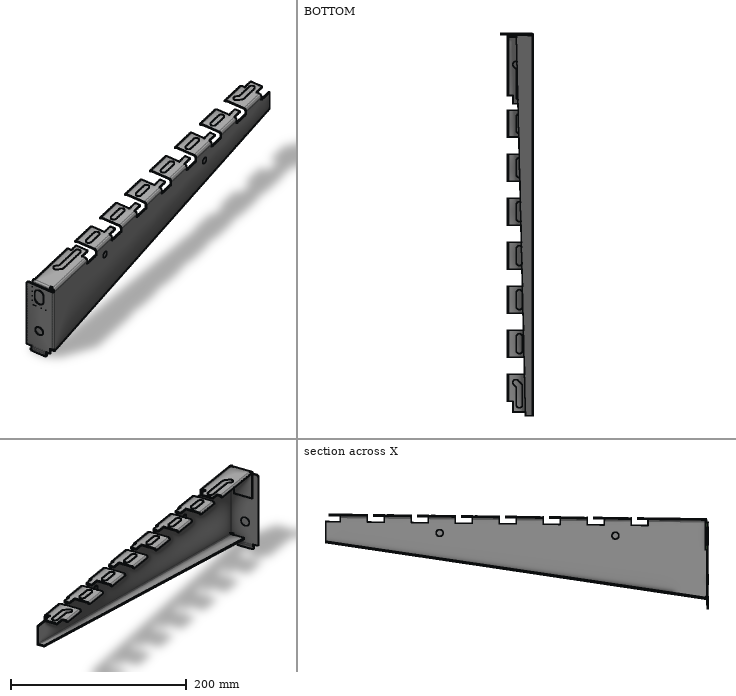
import cadquery as cq
import math

length = 435.0
width = 37.5
height = 107.5

sheet = 1.5
bend = 3.5
tight_bend = 2.0
tab_bend = 2.5
lip_bend = 2.5
recess = 0.5
over = 4.5

plate_face = 0.5
plate_bottom = 6.5
plate_top = 98.5
plate_top_radius = 3.5
plate_bottom_radius = 1.7
plate_bend_bottom = 14.0
plate_low_width = 32.5
plate_hole_x = 18.0
plate_slot_z = 82.5
plate_slot_length = 20.0
plate_slot_width = 12.0
plate_hole_z = 33.0
plate_hole_diameter = 11.0

foot_left = 6.0
foot_right = 28.3
foot_chamfer = 1.5
foot_step = 4.0
neck_inset = 1.5

flange_left = 7.5
flange_drop = 5.2
flange_tip = 430.5
top_slope = flange_drop / length
top_angle = math.degrees(math.atan(top_slope))

seat_pitch = 50.0
seat_length = 31.0
middle_seats = 6
first_middle_seat = 87.5
notch_depth = 8.3
finger_left = 27.0
finger_right = 34.0
finger_length = 11.7
tongue_left = 14.0
tongue_right = 30.0
root_seat_end = 68.5
root_lip_end = 71.0
root_tongue_end = 80.5
tip_seat_end = 418.5

slot_x = 21.5
slot_width = 7.0
slot_length = 22.5
hook_step = 4.0
root_hook_bend = 39.5
root_hook_end = 72.5
tip_hook_bend = 401.0
tip_hook_end = 422.5

tab_right = 31.5
tab_bottom = 67.0

web_bottom_root = 11.0
web_bottom_tip = 75.2
web_holes = ((105.5, 83.0), (305.5, 86.0))
web_hole_diameter = 8.0
lower_flange_root = 19.5
lower_flange_tip = 9.0

plate_back = plate_face + sheet
web_start = plate_face + tight_bend
lip_start = plate_back + tab_bend
root_top = height - top_slope * flange_tip


def box(x0, x1, y0, y1, z0, z1):
    return cq.Workplane("XY").box(x1 - x0, y1 - y0, z1 - z0, centered=False).translate((x0, y0, z0))


def bend_offset(radius):
    """Distance from a tangent corner to the middle of a quarter arc, along each axis."""
    return radius * (1 - math.sqrt(0.5))


def tilt_flange(body):
    """Move a body from the flange frame (flange top at Z = 0) to its sloping place."""
    return body.rotate((0, 0, 0), (1, 0, 0), top_angle).translate((0, 0, root_top))


def flange_and_web():
    """Constant section along Y: web, upper bend, flange and curled free edge."""
    inner = bend - sheet
    outer_mid = bend_offset(bend)
    inner_mid = sheet + bend_offset(inner)
    lip_mid = bend_offset(lip_bend)
    lip_inner_mid = sheet + bend_offset(lip_bend - sheet)
    section = (
        cq.Workplane("XZ")
        .moveTo(width, -height)
        .lineTo(width, -bend)
        .threePointArc((width - outer_mid, -outer_mid), (width - bend, 0))
        .lineTo(flange_left + lip_bend, 0)
        .threePointArc((flange_left + lip_mid, -lip_mid), (flange_left, -lip_bend))
        .lineTo(flange_left + sheet, -lip_bend)
        .threePointArc((flange_left + lip_inner_mid, -lip_inner_mid), (flange_left + lip_bend, -sheet))
        .lineTo(width - bend, -sheet)
        .threePointArc((width - inner_mid, -inner_mid), (width - sheet, -bend))
        .lineTo(width - sheet, -height)
        .close()
    )
    return section.extrude(-length - over)


def straight_slot(y_start, y_end):
    """Shallow slot cutter along Y between two end centres."""
    run = y_end - y_start
    return (
        cq.Workplane("XY")
        .center(slot_x, (y_start + y_end) / 2)
        .slot2D(run + slot_width, slot_width, 90)
        .extrude(recess, both=True)
    )


def hooked_slot(y_bend, y_end):
    """Shallow slot cutter whose near end turns diagonally toward the free edge."""
    hook_run = hook_step * math.sqrt(2)
    hook = (
        cq.Workplane("XY")
        .center(slot_x - hook_step / 2, y_bend - hook_step / 2)
        .slot2D(hook_run + slot_width, slot_width, 45)
        .extrude(recess, both=True)
    )
    return straight_slot(y_bend, y_end).union(hook)


def gap(y0, y1, tongue_x0, tongue_x1, tongue_end, lip_from):
    """Notch between two seats, sparing the tongue that reaches into it."""
    left_part = box(-over, tongue_x0, lip_from, y1, -notch_depth, over)
    right_part = box(tongue_x1, width + over, y0, y1, -notch_depth, over)
    beyond_tongue = box(-over, width + over, tongue_end, y1, -notch_depth, over)
    under_tongue = box(width - bend, width + over, y0, y1, -notch_depth, over)
    return left_part.union(right_part).union(beyond_tongue).union(under_tongue)


def upper_body():
    """Sloping flange with its seats and blanked slots, and the web below it."""
    body = flange_and_web()
    body = body.cut(gap(root_seat_end, first_middle_seat, tongue_left, tongue_right,
                        root_tongue_end, root_lip_end))
    for i in range(middle_seats):
        near = first_middle_seat + i * seat_pitch
        far = near + seat_length
        body = body.cut(gap(far, near + seat_pitch, finger_left, finger_right,
                            far + finger_length, far))
        middle = (near + far) / 2
        half_run = (slot_length - slot_width) / 2
        body = body.cut(straight_slot(middle - half_run, middle + half_run))
    body = body.cut(gap(tip_seat_end, length + 2 * over, tongue_left, tongue_right,
                        flange_tip, tip_seat_end))
    body = body.cut(hooked_slot(root_hook_bend, root_hook_end))
    body = body.cut(hooked_slot(tip_hook_bend, tip_hook_end))
    body = tilt_flange(body)

    envelope = (
        cq.Workplane("YZ")
        .polyline([(web_start, web_bottom_root), (length, web_bottom_tip),
                   (length, height + over), (web_start, height + over)])
        .close()
        .extrude(width)
    )
    body = body.intersect(envelope)
    body = body.cut(box(-over, width - bend, 0, lip_start, 0, height + over))
    for y, z in web_holes:
        hole = cq.Workplane("YZ").center(y, z).circle(web_hole_diameter / 2).extrude(width - sheet + recess)
        body = body.cut(hole)
    return body


def folded_tab():
    """Flange end turned down behind the end plate."""
    top = root_top + top_slope * lip_start
    outer_mid = bend_offset(tab_bend)
    inner_mid = sheet + bend_offset(tab_bend - sheet)
    section = (
        cq.Workplane("YZ")
        .moveTo(lip_start, top)
        .threePointArc((plate_back + outer_mid, top - outer_mid), (plate_back, top - tab_bend))
        .lineTo(plate_back, tab_bottom)
        .lineTo(plate_back + sheet, tab_bottom)
        .lineTo(plate_back + sheet, top - tab_bend)
        .threePointArc((plate_back + inner_mid, top - inner_mid), (lip_start, top - sheet))
        .close()
    )
    tab = section.extrude(width - bend - flange_left).translate((flange_left, 0, 0))
    return tab.cut(box(tab_right, width, 0, lip_start, 0, height))


def lower_flange():
    """Tapering flange along the sloping lower edge of the web, with a rounded corner."""
    rise = web_bottom_tip - web_bottom_root
    middle_height = (web_bottom_root + web_bottom_tip) / 2
    edge_height = 2 * tight_bend
    edge = (
        cq.Workplane("YZ")
        .polyline([(web_start, web_bottom_root), (length, web_bottom_tip),
                   (length, web_bottom_tip + edge_height), (web_start, web_bottom_root + edge_height)])
        .close()
        .extrude(width)
    )
    inside = (
        cq.Workplane("YZ")
        .polyline([(0, web_bottom_root + sheet), (length, web_bottom_tip + sheet),
                   (length, web_bottom_tip + rise), (0, web_bottom_root + rise)])
        .close()
        .extrude(width - sheet)
    )
    plan = (
        cq.Workplane("XY")
        .polyline([(width, 0), (width - lower_flange_root, 0),
                   (width - lower_flange_tip, length), (width, length)])
        .close()
        .extrude(height)
    )
    corner = cq.selectors.NearestToPointSelector((width, length / 2, middle_height))
    edge = edge.edges(corner).fillet(tight_bend)
    inner_corner = cq.selectors.NearestToPointSelector(
        (width - sheet, length / 2, middle_height + sheet))
    inside = inside.edges(inner_corner).fillet(tight_bend - sheet)
    return edge.cut(inside).intersect(plan)


def end_plate():
    """Wall plate with rounded corners, its bend into the web, and the foot."""
    plate = box(0, width - tight_bend, plate_face, plate_back, plate_bottom, plate_top)
    plate = plate.edges("|Y and <X and >Z").fillet(plate_top_radius)
    plate = plate.edges("|Y and <X and <Z").fillet(plate_bottom_radius)
    plate = plate.cut(box(plate_low_width, width, 0, plate_back, 0, plate_bend_bottom))
    corner = (
        cq.Workplane("XY")
        .center(width - tight_bend, web_start)
        .circle(tight_bend)
        .circle(tight_bend - sheet)
        .extrude(plate_top - plate_bend_bottom)
        .translate((0, 0, plate_bend_bottom))
    )
    quarter = box(width - tight_bend, width, plate_face, web_start, 0, height)
    return plate.union(corner.intersect(quarter)).union(foot())


def foot():
    """Tab below the plate: short neck, then a step outward to Y = 0."""
    side = (
        cq.Workplane("YZ")
        .polyline([(plate_face, plate_bottom), (0, foot_step), (0, 0),
                   (sheet, 0), (sheet, foot_step), (plate_back, plate_bottom)])
        .close()
        .extrude(foot_right - foot_left)
        .translate((foot_left, 0, 0))
    )
    outline = box(foot_left, foot_right, 0, plate_back, 0, foot_step)
    outline = outline.edges("|Y").chamfer(foot_chamfer)
    neck = box(foot_left + neck_inset, foot_right - neck_inset, 0, plate_back, 0, plate_bottom)
    return side.intersect(outline.union(neck))


def plate_holes():
    """Recesses marking the blanked fixing slot and round hole in the end plate."""
    slot = (
        cq.Workplane("XZ")
        .center(plate_hole_x, plate_slot_z)
        .slot2D(plate_slot_length, plate_slot_width, 90)
        .extrude(-plate_face - recess)
    )
    hole = (
        cq.Workplane("XZ")
        .center(plate_hole_x, plate_hole_z)
        .circle(plate_hole_diameter / 2)
        .extrude(-plate_face - recess)
    )
    return slot.union(hole)


result = (
    upper_body()
    .union(lower_flange())
    .union(folded_tab())
    .union(end_plate())
    .cut(plate_holes())
)